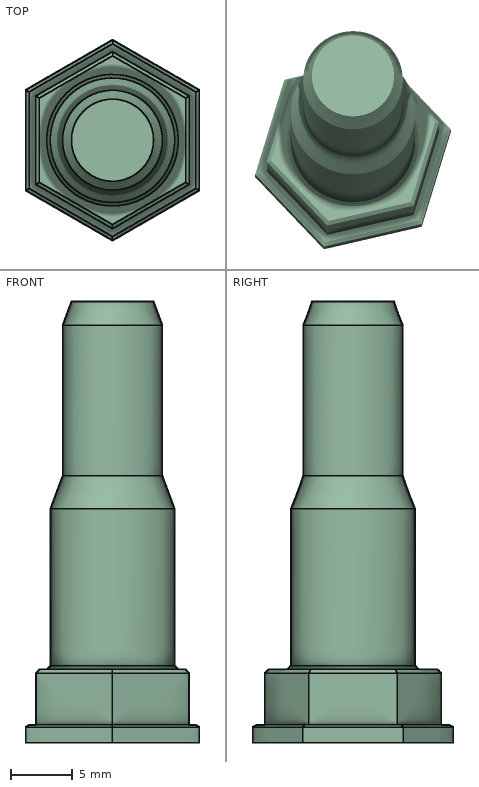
import cadquery as cq
import math

flange_across_flats = 14.2
flange_height = 1.48
flange_bevel_width = 0.3
flange_bevel_height = 0.18
head_across_flats = 12.5
head_top = 6.0
head_bevel_width = 0.3
head_bevel_height = 0.32

shank_radius = 5.08
collar_size = 0.3
shoulder_bottom = 19.08
shoulder_top = 21.78
pin_radius = 4.05
tip_radius = 3.35
tip_height = 1.95
total_height = 36.0


def hexagon(across_flats, z):
    """Hexagon outline at height z with corners on the Y axis."""
    corner_radius = across_flats / math.sqrt(3)
    corner_angles = [math.radians(90 + 60 * i) for i in range(6)]
    corners = [(corner_radius * math.cos(a), corner_radius * math.sin(a)) for a in corner_angles]
    return cq.Workplane("XY").workplane(offset=z).polyline(corners).close()


def beveled_hexagon(across_flats, bottom, top, bevel_width, bevel_height):
    """Hexagonal prism whose top edges are beveled."""
    bevel_start = top - bevel_height
    body = hexagon(across_flats, bottom).extrude(bevel_start - bottom)
    taper_angle = math.degrees(math.atan2(bevel_width, bevel_height))
    bevel = hexagon(across_flats, bevel_start).extrude(bevel_height, taper=taper_angle)
    return body.union(bevel)


def stepped_shank():
    """Revolved shank with a flared root, conical shoulder and tapered tip."""
    profile = [
        (0, head_top),
        (shank_radius + collar_size, head_top),
        (shank_radius, head_top + collar_size),
        (shank_radius, shoulder_bottom),
        (pin_radius, shoulder_top),
        (pin_radius, total_height - tip_height),
        (tip_radius, total_height),
        (0, total_height),
    ]
    return cq.Workplane("XZ").polyline(profile).close().revolve(360, (0, 0, 0), (0, 1, 0))


flange = beveled_hexagon(flange_across_flats, 0, flange_height, flange_bevel_width, flange_bevel_height)
head = beveled_hexagon(head_across_flats, flange_height, head_top, head_bevel_width, head_bevel_height)

result = flange.union(head).union(stepped_shank())